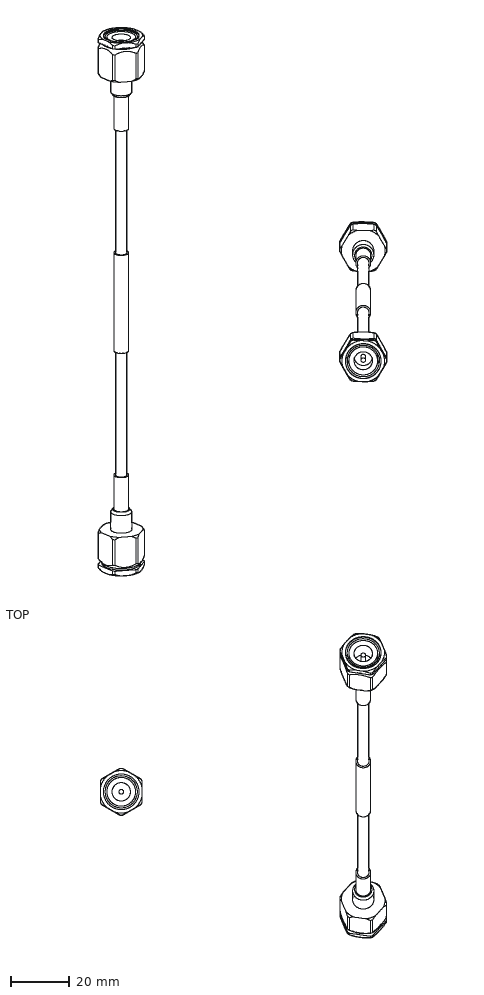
import cadquery as cq

LENGTH = 196.6
HALF = LENGTH / 2

ACROSS_FLATS = 14.4
CORNER_RADIUS = 8.0
RIM_HEIGHT = 2.0
RIM_FACE_RADIUS = 7.3
RIM_CHAMFER_HEIGHT = 0.8
GROOVE_RADIUS = 6.7
GROOVE_WIDTH = 0.5
SHOULDER_HEIGHT = 1.5
NUT_HEIGHT = 14.4
BACK_FACE_RADIUS = 7.5
BACK_CHAMFER_HEIGHT = 0.8

BORE_RADIUS = 5.5
BORE_DEPTH = 7.9
MOUTH_RADIUS = 6.0
MOUTH_DEPTH = 0.4
TUBE_RADIUS = 5.0
TUBE_BORE_RADIUS = 3.1
TUBE_MOUTH_RADIUS = 4.1
TUBE_MOUTH_DEPTH = 0.2
TUBE_RECESS = 0.5
PIN_RADIUS = 0.8
PIN_RECESS = 2.0

BODY_DIAMETER = 7.3
BODY_RADIUS = BODY_DIAMETER / 2
BODY_END_RADIUS = 3.0
BODY_END = 20.8
BODY_CHAMFER_END = 21.8
FERRULE_RADIUS = 2.5
FERRULE_END = 34.5

CABLE_RADIUS = 2.0
CABLE_END = NUT_HEIGHT
SLEEVE_RADIUS = FERRULE_RADIUS
SLEEVE_LENGTH = 36.2


def rod(radius, start, end):
    """Cylinder on the Z axis between two heights."""
    return cq.Workplane("XY").workplane(offset=start).circle(radius).extrude(end - start)


def turned(profile):
    """Solid of revolution about Z from (radius, height) points."""
    return cq.Workplane("XZ").polyline(profile).close().revolve(360, (0, 0), (0, 1))


def make_nut():
    """Hexagonal nut, its mating end at height 0 and its back at NUT_HEIGHT."""
    hexagon = cq.Workplane("XY").polygon(6, ACROSS_FLATS, circumscribed=True).extrude(NUT_HEIGHT)
    groove_end = RIM_HEIGHT + GROOVE_WIDTH
    envelope = turned([
        (0, 0),
        (RIM_FACE_RADIUS, 0),
        (CORNER_RADIUS, RIM_CHAMFER_HEIGHT),
        (CORNER_RADIUS, RIM_HEIGHT),
        (GROOVE_RADIUS, RIM_HEIGHT),
        (GROOVE_RADIUS, groove_end),
        (CORNER_RADIUS, groove_end + SHOULDER_HEIGHT),
        (CORNER_RADIUS, NUT_HEIGHT - BACK_CHAMFER_HEIGHT),
        (BACK_FACE_RADIUS, NUT_HEIGHT),
        (0, NUT_HEIGHT),
    ])
    return hexagon.intersect(envelope)


def make_socket_cavity():
    """Bore of the nut, less the contact tube and the centre pin that stand in it."""
    bore = turned([
        (0, 0),
        (MOUTH_RADIUS, 0),
        (MOUTH_RADIUS, MOUTH_DEPTH),
        (BORE_RADIUS, MOUTH_DEPTH),
        (BORE_RADIUS, BORE_DEPTH),
        (0, BORE_DEPTH),
    ])
    tube = turned([
        (TUBE_RADIUS, TUBE_RECESS),
        (TUBE_RADIUS, BORE_DEPTH),
        (TUBE_BORE_RADIUS, BORE_DEPTH),
        (TUBE_BORE_RADIUS, TUBE_RECESS + TUBE_MOUTH_DEPTH),
        (TUBE_MOUTH_RADIUS, TUBE_RECESS),
    ])
    pin = rod(PIN_RADIUS, PIN_RECESS, BORE_DEPTH)
    return bore.cut(tube).cut(pin)


def make_back_body():
    """Round body with a chamfered end and crimp ferrule behind the nut."""
    return turned([
        (0, NUT_HEIGHT),
        (BODY_RADIUS, NUT_HEIGHT),
        (BODY_RADIUS, BODY_END),
        (BODY_END_RADIUS, BODY_CHAMFER_END),
        (FERRULE_RADIUS, BODY_CHAMFER_END),
        (FERRULE_RADIUS, FERRULE_END),
        (0, FERRULE_END),
    ])


def make_connector(end):
    """Connector with its mating face at the top (end = 1) or the bottom (end = -1)."""
    connector = make_nut().cut(make_socket_cavity()).union(make_back_body())
    connector = connector.cut(rod(CABLE_RADIUS, CABLE_END, FERRULE_END))
    connector = connector.translate((0, 0, -HALF))
    return connector if end < 0 else connector.mirror("XY")


def make_cable():
    """Plain round cable reaching into both connectors."""
    reach = HALF - CABLE_END
    return rod(CABLE_RADIUS, -reach, reach)


def make_sleeve():
    """Tube around the middle of the cable."""
    reach = SLEEVE_LENGTH / 2
    return rod(SLEEVE_RADIUS, -reach, reach).cut(rod(CABLE_RADIUS, -reach, reach))


connectors = [make_connector(end) for end in (1, -1)]
cable = make_cable()
sleeve = make_sleeve()

result = cq.Compound.makeCompound([
    *[connector.val() for connector in connectors],
    cable.val(),
    sleeve.val(),
])